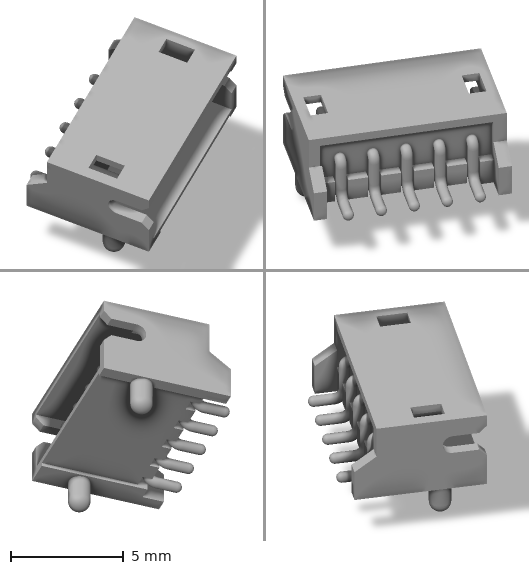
import cadquery as cq

length_x = 6.5
width = 9.0
height = 3.7
back_x = 1.5
top_wall = 0.4
side_wall = 0.5
floor_top = 0.4
cavity_back_x = 3.0
cavity_top = height - top_wall
half_width = width / 2
cavity_half_width = half_width - side_wall

ear_back_x = 0.5
ear_thickness = 0.6
ear_low_z = 1.5
ear_high_z = 2.2
ear_inner_y = half_width - ear_thickness

recess_depth = 0.45
ledge_top = 1.22
ledge_slot_width = 0.6

pin_count = 5
pin_pitch = 1.5
pin_diameter = 0.5
pin_radius = pin_diameter / 2
lower_bend_radius = 0.5
upper_bend_radius = 0.25
pin_post_x = 1.65
pin_axis_low_z = pin_radius
pin_axis_high_z = 2.2
contact_tip_x = 5.7
pin_positions = [(i - (pin_count - 1) / 2) * pin_pitch for i in range(pin_count)]

underside_clearance = 0.16
channel_min_y = pin_positions[0] - ledge_slot_width / 2
channel_max_y = ear_inner_y

slot_tip_x = 4.5
slot_low_z = 1.9
slot_height = 0.9
slot_radius = slot_height / 2
slot_high_z = slot_low_z + slot_height
mouth_chamfer = 0.35

window_min_x = 3.3
window_max_x = 4.7
window_width = 0.8

post_x = 4.5
post_y = half_width - ear_thickness
post_diameter = 1.0
post_length = 1.5
post_radius = post_diameter / 2


def box(x_range, y_range, z_range):
    """Axis-aligned box given by its limits."""
    (x0, x1), (y0, y1), (z0, z1) = x_range, y_range, z_range
    return cq.Workplane("XY").box(x1 - x0, y1 - y0, z1 - z0, centered=False).translate((x0, y0, z0))


def side_profile():
    """Housing and ears seen along Y, extruded over the full width."""
    outline = (
        cq.Workplane("XZ")
        .moveTo(ear_back_x, 0)
        .lineTo(length_x, 0)
        .lineTo(length_x, height)
        .lineTo(back_x, height)
        .lineTo(back_x, ear_high_z)
        .lineTo(ear_back_x, ear_low_z)
        .close()
    )
    return outline.extrude(half_width, both=True)


def side_slot():
    """Round-ended slot with a flared mouth, through both side walls."""
    straight_end_x = length_x - mouth_chamfer
    outline = (
        cq.Workplane("XZ")
        .moveTo(slot_tip_x + slot_radius, slot_low_z)
        .lineTo(straight_end_x, slot_low_z)
        .lineTo(length_x, slot_low_z - mouth_chamfer)
        .lineTo(length_x, slot_high_z + mouth_chamfer)
        .lineTo(straight_end_x, slot_high_z)
        .lineTo(slot_tip_x + slot_radius, slot_high_z)
        .threePointArc((slot_tip_x, slot_low_z + slot_radius), (slot_tip_x + slot_radius, slot_low_z))
        .close()
    )
    return outline.extrude(half_width, both=True)


def rear_recess():
    """Pocket in the rear face above the ledge, with a slot down through the ledge at each pin."""
    x_range = (back_x, back_x + recess_depth)
    recess = box(x_range, (-ear_inner_y, cavity_half_width), (ledge_top, cavity_top))
    for y in pin_positions:
        y_range = (y - ledge_slot_width / 2, y + ledge_slot_width / 2)
        recess = recess.union(box(x_range, y_range, (0, cavity_top)))
    return recess


def housing():
    body = side_profile()
    body = body.cut(box((ear_back_x, back_x), (-ear_inner_y, ear_inner_y), (0, height)))
    body = body.cut(
        box((cavity_back_x, length_x), (-cavity_half_width, cavity_half_width), (floor_top, cavity_top))
    )
    body = body.cut(rear_recess())
    body = body.cut(box((ear_back_x, length_x), (channel_min_y, channel_max_y), (0, underside_clearance)))
    body = body.cut(side_slot())
    window = box(
        (window_min_x, window_max_x),
        (cavity_half_width - window_width, cavity_half_width),
        (cavity_top, height),
    )
    return body.cut(window).cut(window.mirror("XZ"))


def locating_post(y):
    """Post with a hemispherical end, hanging from the underside."""
    shaft_end_z = post_radius - post_length
    outline = (
        cq.Workplane("XZ")
        .moveTo(0, 0)
        .lineTo(post_radius, 0)
        .lineTo(post_radius, shaft_end_z)
        .radiusArc((0, -post_length), post_radius)
        .close()
    )
    return outline.revolve(360, (0, 0), (0, 1)).translate((post_x, y, 0))


def pin():
    """Z-shaped round pin in the plane Y = 0, with hemispherical ends."""
    tail_start_x = pin_radius
    contact_end_x = contact_tip_x - pin_radius
    path = (
        cq.Workplane("XZ")
        .moveTo(tail_start_x, pin_axis_low_z)
        .lineTo(pin_post_x - lower_bend_radius, pin_axis_low_z)
        .tangentArcPoint((pin_post_x, pin_axis_low_z + lower_bend_radius), relative=False)
        .lineTo(pin_post_x, pin_axis_high_z - upper_bend_radius)
        .tangentArcPoint((pin_post_x + upper_bend_radius, pin_axis_high_z), relative=False)
        .lineTo(contact_end_x, pin_axis_high_z)
    )
    tail_plane = cq.Workplane("YZ", origin=(tail_start_x, 0, pin_axis_low_z))
    rod = tail_plane.circle(pin_radius).sweep(path)
    end_ball = cq.Workplane("XY").sphere(pin_radius)
    tail_ball = end_ball.translate((tail_start_x, 0, pin_axis_low_z))
    contact_ball = end_ball.translate((contact_end_x, 0, pin_axis_high_z))
    return rod.union(tail_ball).union(contact_ball)


result = housing()
for post_side_y in (-post_y, post_y):
    result = result.union(locating_post(post_side_y))
for pin_y in pin_positions:
    result = result.union(pin().translate((0, pin_y, 0)))